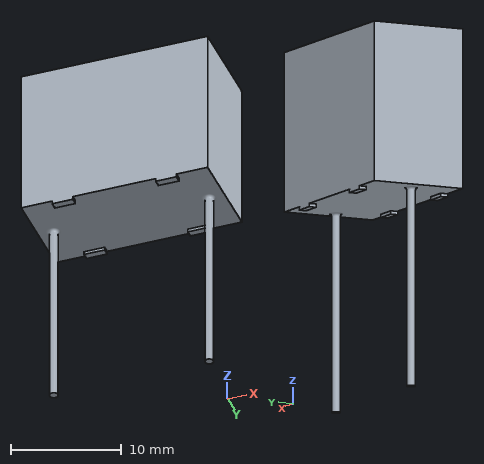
import cadquery as cq

case_length = 18.0
case_width = 9.0
seated_height = 15.0

foot_length = 2.0
foot_width = 0.7
foot_height = 0.3
foot_spacing = 10.0

lead_diameter = 0.8
lead_pitch = 15.0
lead_length = 18.0

flare_radius = foot_height

overlap = 0.5


def make_case():
    return (
        cq.Workplane("XY")
        .workplane(offset=foot_height)
        .box(case_length, case_width, seated_height - foot_height, centered=(True, True, False))
    )


def make_feet():
    foot_row_spacing = case_width - foot_width
    return (
        cq.Workplane("XY")
        .rarray(foot_spacing, foot_row_spacing, 2, 2)
        .rect(foot_length, foot_width)
        .extrude(foot_height)
    )


def make_lead(x):
    """Revolve one round lead with a concave flare up to the case underside."""
    radius = lead_diameter / 2
    profile = (
        cq.Workplane("XZ")
        .moveTo(0, -lead_length)
        .lineTo(radius, -lead_length)
        .lineTo(radius, 0)
        .tangentArcPoint((radius + flare_radius, foot_height), relative=False)
        .lineTo(radius + flare_radius, foot_height + overlap)
        .lineTo(0, foot_height + overlap)
        .close()
    )
    return profile.revolve(360, (0, 0, 0), (0, 1, 0)).translate((x, 0, 0))


result = make_case().union(make_feet())
for side in (-1, 1):
    result = result.union(make_lead(side * lead_pitch / 2))